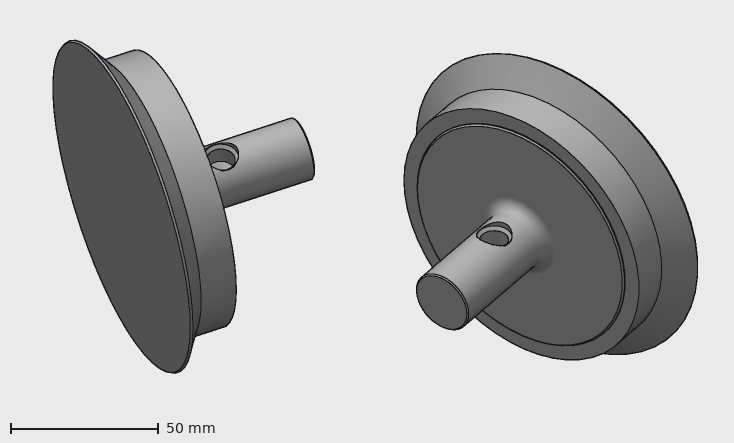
import cadquery as cq
import math

rim_diameter = 118.0
rim_taper = 0.5
rim_height = 0.8
body_diameter = 98.5
flare_height = 8.0
body_height = 21.0
plate_diameter = 87.0
plate_height = 22.0
plate_chamfer = 0.6
stem_diameter = 22.0
stem_fillet = 4.0
stem_chamfer = 0.5
overall_height = 66.5

hole_height = 36.6
mouth_diameter = 12.0
bore_diameter = 9.7
mouth_depth = 2.0
bore_depth = 9.4
drill_point_angle = 118.0


def make_turned_body():
    """Revolve the half outline of disc, plate and stem about the Y axis."""
    rim_radius = rim_diameter / 2
    body_radius = body_diameter / 2
    plate_radius = plate_diameter / 2
    stem_radius = stem_diameter / 2
    fillet_offset = stem_fillet * (1 - math.sqrt(0.5))
    outline = (
        cq.Workplane("XY")
        .lineTo(rim_radius - rim_taper, 0)
        .lineTo(rim_radius, rim_height)
        .lineTo(body_radius, flare_height)
        .lineTo(body_radius, body_height)
        .lineTo(plate_radius, body_height)
        .lineTo(plate_radius, plate_height - plate_chamfer)
        .lineTo(plate_radius - plate_chamfer, plate_height)
        .lineTo(stem_radius + stem_fillet, plate_height)
        .threePointArc(
            (stem_radius + fillet_offset, plate_height + fillet_offset),
            (stem_radius, plate_height + stem_fillet),
        )
        .lineTo(stem_radius, overall_height - stem_chamfer)
        .lineTo(stem_radius - stem_chamfer, overall_height)
        .lineTo(0, overall_height)
        .close()
    )
    return outline.revolve(360, (0, 0, 0), (0, 1, 0))


def make_cross_hole():
    """Wide mouth with a 45 degree step down to a bore ending in a drill point."""
    stem_radius = stem_diameter / 2
    mouth_radius = mouth_diameter / 2
    bore_radius = bore_diameter / 2
    mouth_bottom = stem_radius - mouth_depth
    step_bottom = mouth_bottom - (mouth_radius - bore_radius)
    bore_bottom = stem_radius - bore_depth
    point_depth = bore_radius / math.tan(math.radians(drill_point_angle / 2))
    outline = (
        cq.Workplane("XZ")
        .moveTo(0, stem_radius)
        .lineTo(mouth_radius, stem_radius)
        .lineTo(mouth_radius, mouth_bottom)
        .lineTo(bore_radius, step_bottom)
        .lineTo(bore_radius, bore_bottom)
        .lineTo(0, bore_bottom - point_depth)
        .close()
    )
    hole = outline.revolve(360, (0, 0, 0), (0, 1, 0))
    return hole.translate((0, hole_height, 0))


result = make_turned_body().cut(make_cross_hole())